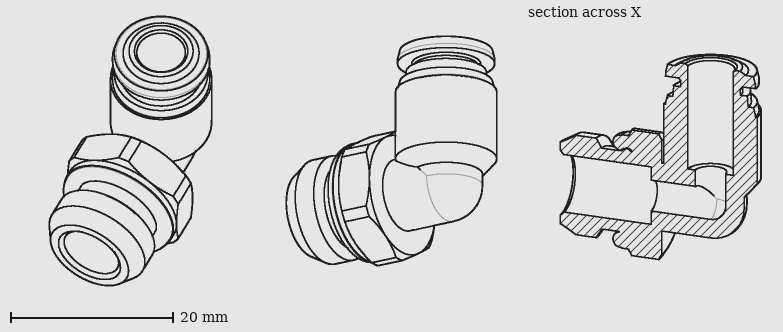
import cadquery as cq


elbow_radius = 4.5
bore_radius = 2.0

body_radius = 12.5 / 2
body_cone_bottom_radius = elbow_radius
body_cone_bottom = 1.47
body_bottom = 3.5
body_top = 12.28
shoulder_bottom_radius = 6.0
shoulder_top_radius = 5.75
shoulder_straight_top = 12.52
shoulder_top = 13.47
step_bottom_radius = 5.05
step_top_radius = 4.95
step_top = 14.89
socket_radius = 3.0
socket_mouth_radius = 3.3
socket_floor = 4.2

button_neck_radius = 4.0
button_flare_radius = 4.25
button_flare_bottom = 15.62
button_bottom = 15.95
button_rim_radius = 6.0
button_rim_top = 16.52
button_shoulder_radius = 5.75
button_shoulder = 17.52
button_face_radius = 5.58
button_face = 17.57
crown_base_radius = 4.68
crown_radius = 3.95
button_top = 18.02

across_flats = 15
hex_corner_radius = 8.28
hex_start = 6.42
hex_end = 10.95
hex_chamfer = 0.47
hex_face_radius = across_flats / 2

collar_radius = across_flats / 2
collar_end = 11.8
ring_outer_radius = 7.42
ring_centre = 11.97

neck_radius = 10.7 / 2
neck_end = 14.45
thread_radius = 6.58
thread_start = 15.18
thread_end = 17.88
port_end = 20
port_tip_radius = 5.37
port_bore_radius = 7.5 / 2
port_mouth_radius = 4.25
port_floor = 7.9

socket_countersink = socket_mouth_radius - socket_radius
port_countersink = port_mouth_radius - port_bore_radius


def turned_socket(profile):
    """Turn (radius, height) points about the Z axis."""
    closed = [(0, profile[0][1])] + profile + [(0, profile[-1][1])]
    return cq.Workplane("XZ").polyline(closed).close().revolve(360, (0, 0), (0, 1))


def turned_port(profile):
    """Turn (radius, distance) points about the Y axis, out towards -Y."""
    return turned_socket(profile).rotate((0, 0, 0), (1, 0, 0), 90)


def make_elbow():
    """Round corner with one arm running up and one running to the hexagon."""
    corner = cq.Workplane("XY").sphere(elbow_radius)
    upper_arm = cq.Workplane("XY").circle(elbow_radius).extrude(body_bottom)
    port_arm = cq.Workplane("XZ").circle(elbow_radius).extrude(hex_start)
    return corner.union(upper_arm).union(port_arm)


def make_socket():
    return turned_socket([
        (body_cone_bottom_radius, body_cone_bottom),
        (body_radius, body_bottom),
        (body_radius, body_top),
        (shoulder_bottom_radius, body_top),
        (shoulder_bottom_radius, shoulder_straight_top),
        (shoulder_top_radius, shoulder_top),
        (step_bottom_radius, shoulder_top),
        (step_top_radius, step_top),
        (button_neck_radius, step_top),
        (button_neck_radius, button_flare_bottom),
        (button_flare_radius, button_bottom),
        (button_rim_radius, button_bottom),
        (button_rim_radius, button_rim_top),
        (button_shoulder_radius, button_shoulder),
        (button_face_radius, button_face),
        (crown_base_radius, button_face),
        (crown_radius, button_top),
    ])


def make_hexagon():
    """Hexagon with flats on +X and -X, its corners and end edges turned down."""
    prism = (
        cq.Workplane("XZ", origin=(0, -hex_start, 0))
        .polygon(6, across_flats, circumscribed=True)
        .extrude(hex_end - hex_start)
    )
    envelope = turned_port([
        (hex_face_radius, hex_start),
        (hex_corner_radius, hex_start + hex_chamfer),
        (hex_corner_radius, hex_end - hex_chamfer),
        (hex_face_radius, hex_end),
    ])
    return prism.intersect(envelope)


def make_thread_end():
    return turned_port([
        (collar_radius, hex_end),
        (collar_radius, collar_end),
        (neck_radius, collar_end),
        (neck_radius, neck_end),
        (thread_radius, thread_start),
        (thread_radius, thread_end),
        (port_tip_radius, port_end),
    ])


def make_sealing_ring():
    """Ring around the neck, about half sunk into the collar face."""
    section_radius = (ring_outer_radius - neck_radius) / 2
    centre_radius = (ring_outer_radius + neck_radius) / 2
    ring = cq.Solid.makeTorus(
        centre_radius, section_radius, cq.Vector(0, -ring_centre, 0), cq.Vector(0, 1, 0)
    )
    return cq.Workplane(obj=ring)


def make_passage():
    """Socket and port bores with the narrow passage that joins them."""
    socket = turned_socket([
        (socket_radius, socket_floor),
        (socket_radius, button_top - socket_countersink),
        (socket_mouth_radius, button_top),
    ])
    port = turned_port([
        (port_bore_radius, port_floor),
        (port_bore_radius, port_end - port_countersink),
        (port_mouth_radius, port_end),
    ])
    corner = cq.Workplane("XY").sphere(bore_radius)
    upper_passage = cq.Workplane("XY").circle(bore_radius).extrude(socket_floor)
    port_passage = cq.Workplane("XZ").circle(bore_radius).extrude(port_floor)
    return socket.union(port).union(corner).union(upper_passage).union(port_passage)


result = (
    make_elbow()
    .union(make_socket())
    .union(make_hexagon())
    .union(make_thread_end())
    .union(make_sealing_ring())
    .cut(make_passage())
)